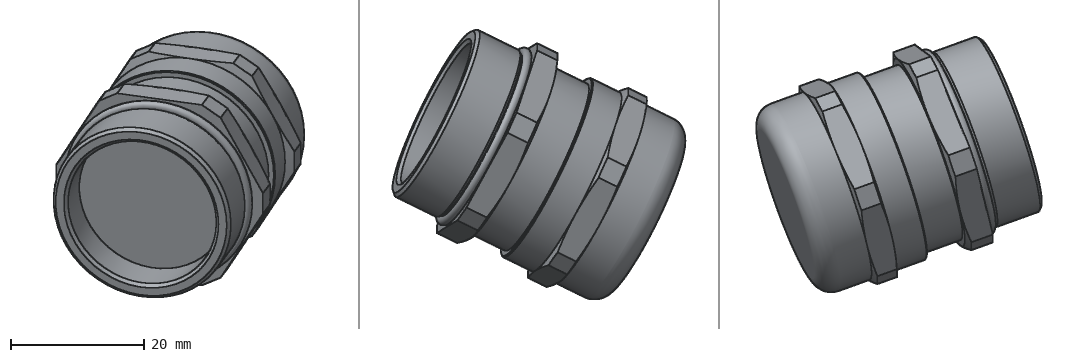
import cadquery as cq
import math


total_length = 36.0
across_flats = 30.0
across_trimmed_corners = 32.65
flat_radius = across_flats / 2
across_corners = across_flats / math.cos(math.pi / 6)

thread_radius = 14.0
edge_chamfer = 0.5
thread_end_y = 7.35
groove_radius = 13.6
groove_start_y = thread_end_y + (thread_radius - groove_radius)

ring_section_radius = 0.72
ring_outer_radius = 14.8
ring_centre_radius = ring_outer_radius - ring_section_radius
ring_centre_y = groove_start_y + ring_section_radius

hex_height = 4.0
body_hex_y = 9.0
cap_hex_y = 24.0
body_corner_drop = 0.5
cap_corner_drop = 0.4

cap_radius = flat_radius
cap_start_y = 19.0
cap_edge_chamfer = 0.18
cap_fillet = 3.0

bore_radius = 11.7
bore_depth = 6.0


def revolve_about_y(profile):
    """Turn a closed (radius, y) profile a full turn about the Y axis."""
    return profile.close().revolve(360, (0, 0, 0), (0, 1, 0))


def turned_core():
    """Thread, relief groove, neck and rounded cap as one turned solid."""
    profile = (
        cq.Workplane("XY")
        .lineTo(thread_radius - edge_chamfer, 0)
        .lineTo(thread_radius, edge_chamfer)
        .lineTo(thread_radius, thread_end_y)
        .lineTo(groove_radius, groove_start_y)
        .lineTo(groove_radius, body_hex_y)
        .lineTo(thread_radius, body_hex_y)
        .lineTo(thread_radius, cap_start_y)
        .lineTo(cap_radius - cap_edge_chamfer, cap_start_y)
        .lineTo(cap_radius, cap_start_y + cap_edge_chamfer)
        .lineTo(cap_radius, total_length - cap_fillet)
        .radiusArc((cap_radius - cap_fillet, total_length), -cap_fillet)
        .lineTo(0, total_length)
    )
    return revolve_about_y(profile)


def sealing_ring():
    """Round-section ring seated in the relief groove."""
    section = cq.Workplane("XY").center(ring_centre_radius, ring_centre_y).circle(ring_section_radius)
    return section.revolve(360, (-ring_centre_radius, 0, 0), (-ring_centre_radius, 1, 0))


def hex_prism(start_y, width_across_corners, turn=0):
    """Hexagonal prism along +Y with corners on the X axis, then turned about Y."""
    prism = cq.Workplane("XZ", origin=(0, start_y, 0)).polygon(6, width_across_corners).extrude(-hex_height)
    return prism.rotate((0, 0, 0), (0, 1, 0), turn)


def wrench_hexagon(start_y, front_drop, back_drop):
    """Hexagon with flat-trimmed corners; each drop bevels one end conically (0 leaves it square)."""
    end_y = start_y + hex_height
    trimmed_radius = across_trimmed_corners / 2
    corner_trim = hex_prism(start_y, across_trimmed_corners / math.cos(math.pi / 6), turn=30)
    reach = 2
    rim_radius = flat_radius + reach * (trimmed_radius - flat_radius)
    envelope = revolve_about_y(
        cq.Workplane("XY")
        .moveTo(0, start_y)
        .lineTo(flat_radius, start_y)
        .lineTo(rim_radius, start_y + reach * front_drop)
        .lineTo(rim_radius, end_y - reach * back_drop)
        .lineTo(flat_radius, end_y)
        .lineTo(0, end_y)
    )
    return hex_prism(start_y, across_corners).intersect(corner_trim).intersect(envelope)


def entry_bore():
    """Blind bore from the thread end with a chamfered mouth."""
    profile = (
        cq.Workplane("XY")
        .lineTo(bore_radius + edge_chamfer, 0)
        .lineTo(bore_radius, edge_chamfer)
        .lineTo(bore_radius, bore_depth)
        .lineTo(0, bore_depth)
    )
    return revolve_about_y(profile)


result = (
    turned_core()
    .union(wrench_hexagon(body_hex_y, 0, body_corner_drop))
    .union(wrench_hexagon(cap_hex_y, cap_corner_drop, cap_corner_drop))
    .union(sealing_ring())
    .cut(entry_bore())
)